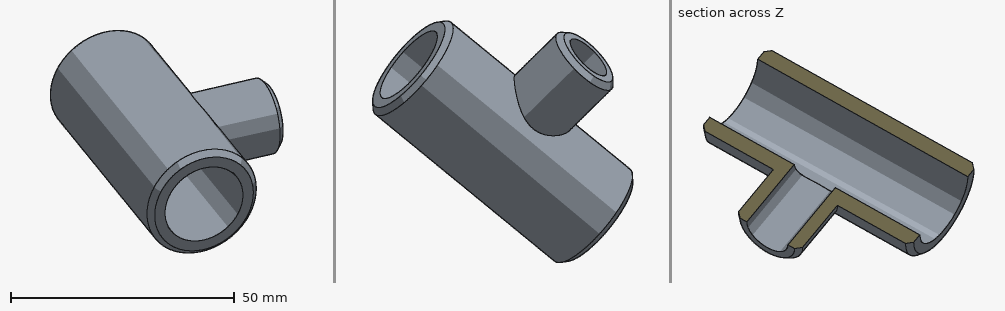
import cadquery as cq

run_length = 56.9
run_diameter = 26.7
run_bore = 19.0

branch_reach = 28.45
branch_diameter = 17.4
branch_wall = 3.2
branch_bore = branch_diameter - 2 * branch_wall

end_chamfer = 1.3


def run_cylinder(diameter):
    """Cylinder along X over the full length of the run."""
    return cq.Workplane("YZ").circle(diameter / 2).extrude(run_length / 2, both=True)


def branch_cylinder(diameter):
    """Cylinder from the run axis to the branch end, along +Y."""
    return cq.Workplane("XZ").circle(diameter / 2).extrude(-branch_reach)


run_body = run_cylinder(run_diameter).faces("<X or >X").chamfer(end_chamfer)
branch_body = branch_cylinder(branch_diameter).faces(">Y").chamfer(end_chamfer)

tee_body = run_body.union(branch_body)
result = tee_body.cut(run_cylinder(run_bore)).cut(branch_cylinder(branch_bore))